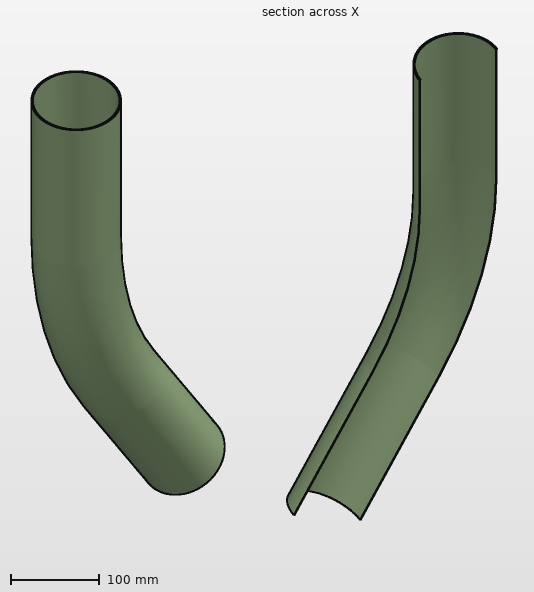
import cadquery as cq
import math

total_height = 658.5
outer_diameter = 101.5
inner_diameter = 97.5
bend_angle = 30.0
bend_radius = 508.0

angle = math.radians(bend_angle)
outer_radius = outer_diameter / 2
bend_height = bend_radius * math.sin(angle)
tilted_end_height = outer_radius * math.sin(angle)
leg_length = (total_height - bend_height - tilted_end_height) / (1 + math.cos(angle))


def ring(plane):
    """Annular cross-section of the pipe."""
    return cq.Workplane(plane).circle(outer_diameter / 2).circle(inner_diameter / 2)


upper_leg = ring("XY").extrude(leg_length)

bend = ring("XY").revolve(bend_angle, (0, bend_radius, 0), (1, bend_radius, 0))

bend_end = (0, bend_radius * (1 - math.cos(angle)), -bend_height)
leg_direction = (0, math.sin(angle), -math.cos(angle))
end_plane = cq.Plane(origin=bend_end, xDir=(1, 0, 0), normal=leg_direction)
lower_leg = ring(end_plane).extrude(leg_length)

result = upper_leg.union(bend).union(lower_leg)